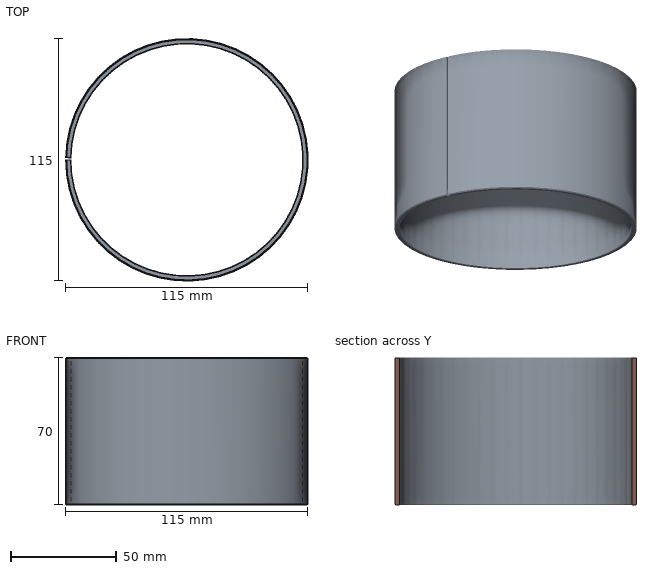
import cadquery as cq

outer_diameter = 115.0
wall_thickness = 2.5
length = 70.0
outer_chamfer = 0.5
inner_chamfer = 0.2
slit_angle = 1.0
full_turn = 360.0

outer_radius = outer_diameter / 2
inner_radius = outer_radius - wall_thickness
half_length = length / 2


def wall_profile():
    """Cross-section of the wall in the XZ plane on the -X side, all four corners chamfered."""
    outer_rim_radius = outer_radius - outer_chamfer
    outer_wall_end = half_length - outer_chamfer
    inner_rim_radius = inner_radius + inner_chamfer
    inner_wall_end = half_length - inner_chamfer
    return (
        cq.Workplane("XZ")
        .moveTo(-inner_rim_radius, -half_length)
        .lineTo(-outer_rim_radius, -half_length)
        .lineTo(-outer_radius, -outer_wall_end)
        .lineTo(-outer_radius, outer_wall_end)
        .lineTo(-outer_rim_radius, half_length)
        .lineTo(-inner_rim_radius, half_length)
        .lineTo(-inner_radius, inner_wall_end)
        .lineTo(-inner_radius, -inner_wall_end)
        .close()
    )


def make_bushing():
    """Sweep the wall from -X through -Y, +X and +Y, stopping short by the slit."""
    axis_start = (0, 0)
    axis_end = (0, 1)
    return wall_profile().revolve(full_turn - slit_angle, axis_start, axis_end)


result = make_bushing()